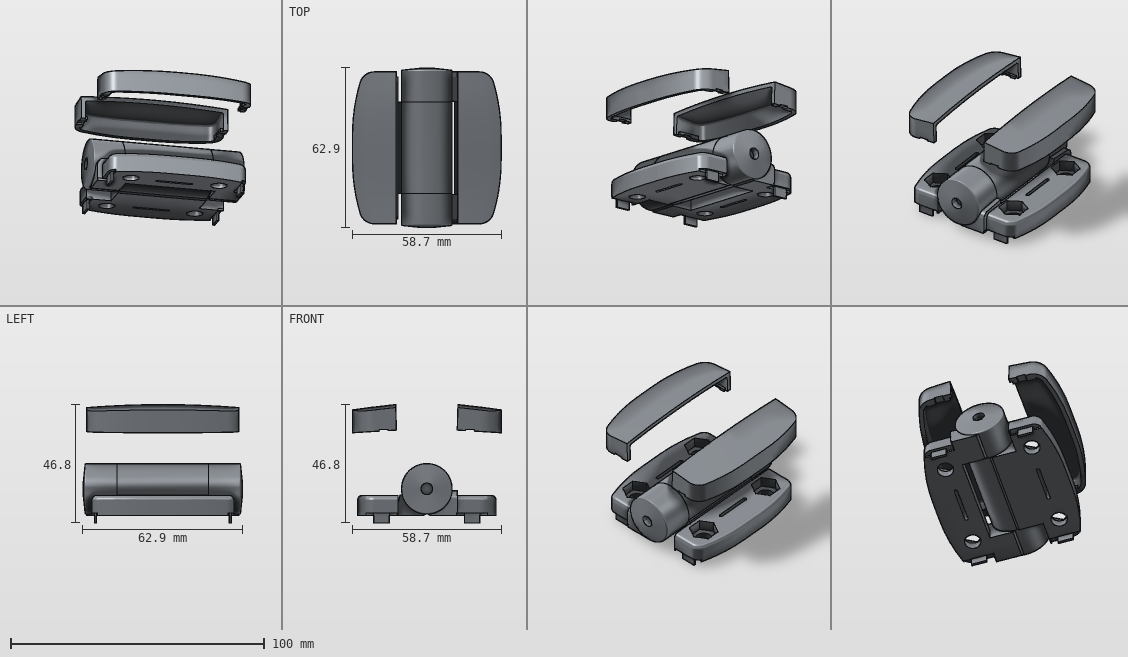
import cadquery as cq
import math


barrel_radius = 10.0
barrel_axis_z = 10.5
barrel_half_length = 31.45
center_knuckle_half_length = 18.05
end_cone_height = 0.8
end_edge_radius = 0.5
end_hole_diameter = 4.6
end_hole_depth = 3.0

leaf_half_width = 27.33
leaf_half_length = 28.0
leaf_corner_radius = 3.995
leaf_side_radius = 71.1
side_flat_half_length = 5.05
leaf_thickness = 8.0
leaf_top_fillet = 2.0
left_leaf_inner_x = 11.3
right_leaf_inner_x = 12.0

seat_x = 17.85
seat_y = 18.0
nut_across_flats = 10.0
nut_pocket_depth = 4.4
screw_hole_diameter = 6.4
slot_x = 17.0
slot_length = 15.0
slot_width = 1.3
notch_width = 12.15
notch_height = 0.95
notch_inner_y = 25.8
tab_width = 6.15
tab_inner_y = 26.15
tab_thickness = 0.8
tab_drop = 3.0

web_tip_x = 1.4
web_blend_x = 0.4
web_blend_height = 0.55
web_overlap = 0.6
groove_bottom_z = 5.2
groove_width = 0.75
left_web_top_z = 8.1
end_web_start_y = 18.3
end_web_end_y = leaf_half_length + 2.0
end_web_round_bottom_z = 6.55
end_web_round_top_z = 9.2
end_web_round_depth = 2.0
end_web_inner_top_z = 9.9
ledge_tip_x = 10.8
ledge_step_x = 11.6

cover_gap = 2.0
cover_wall = 1.75
cover_bottom_inner_x = 11.95
cover_top_inner_x = 12.235
cover_bottom_inner_z = 33.65
cover_bottom_tilt = 3.5
cover_top_z = 43.8
cover_dome_radius = 377.4
cover_dome_offset_x = 25.15
cover_ceiling_fillet = 1.0
cover_notch_width = 3.3
cover_notch_flare = 0.55
cover_notch_top_z = 33.9
lip_inner_x = 12.95
lip_outer_x = 22.65
lip_depth = 1.0
lip_height = 1.0

MARGIN = 6.3


def bowed_outline(growth):
    """Left-hand plate outline at Z = 0, grown outward; the straight inner edge lies on X = 0."""
    half_width = leaf_half_width + growth
    half_length = leaf_half_length + growth
    corner_radius = leaf_corner_radius + growth
    side_radius = leaf_side_radius + growth
    side_center_x = half_width - side_radius
    rise = half_length - corner_radius - side_flat_half_length
    angle = math.asin(rise / (side_radius - corner_radius))
    corner_x = side_center_x + (side_radius - corner_radius) * math.cos(angle)
    corner_y = half_length - corner_radius

    def on_side(a):
        return side_center_x + side_radius * math.cos(a), side_flat_half_length + side_radius * math.sin(a)

    def on_corner(a):
        return corner_x + corner_radius * math.cos(a), corner_y + corner_radius * math.sin(a)

    corner_middle = (angle + math.pi / 2) / 2
    upper = [on_side(angle / 2), on_side(angle), on_corner(corner_middle), (corner_x, half_length)]
    side_mid, side_end, corner_mid, corner_end = [(-x, y) for x, y in upper]
    return (
        cq.Workplane("XY")
        .moveTo(0, -half_length)
        .lineTo(corner_end[0], -corner_end[1])
        .threePointArc((corner_mid[0], -corner_mid[1]), (side_end[0], -side_end[1]))
        .threePointArc((side_mid[0], -side_mid[1]), (-half_width, -side_flat_half_length))
        .lineTo(-half_width, side_flat_half_length)
        .threePointArc(side_mid, side_end)
        .threePointArc(corner_mid, corner_end)
        .lineTo(0, half_length)
        .close()
    )


def block(x0, x1, y0, y1, z0, z1):
    """Axis-aligned block between opposite corners."""
    return cq.Workplane("XY").box(x1 - x0, y1 - y0, z1 - z0, centered=False).translate((x0, y0, z0))


def bar_along_y(points, y0, y1):
    """Prism with an XZ polygon profile between two Y positions."""
    return cq.Workplane("XZ", origin=(0, y0, 0)).polyline(points).close().extrude(y0 - y1)


def mirror_x(body):
    return body.mirror("YZ")


def mirror_y(body):
    return body.mirror("XZ")


def leaf_plate(inner_x):
    """Left-hand plate with rounded rim, screw seats and slot."""
    plate = bowed_outline(0).extrude(leaf_thickness).faces(">Z").edges("not(>X)").fillet(leaf_top_fillet)
    plate = plate.intersect(
        block(-leaf_half_width, -inner_x, -leaf_half_length, leaf_half_length, 0, leaf_thickness)
    )

    seats = [(-seat_x, seat_y), (-seat_x, -seat_y)]
    nut_across_corners = nut_across_flats / math.cos(math.pi / 6)
    for seat in seats:
        pocket = cq.Workplane("XY").polygon(6, nut_across_corners).extrude(nut_pocket_depth)
        pocket = pocket.rotate((0, 0, 0), (0, 0, 1), 30)
        plate = plate.cut(pocket.translate((*seat, leaf_thickness - nut_pocket_depth)))
    holes = cq.Workplane("XY").pushPoints(seats).circle(screw_hole_diameter / 2).extrude(leaf_thickness)
    slot = cq.Workplane("XY").center(-slot_x, 0).slot2D(slot_length, slot_width, 90).extrude(leaf_thickness)
    return plate.cut(holes).cut(slot)


def end_notch():
    """Shallow notch under the +Y end of a left-hand leaf."""
    return block(
        -seat_x - notch_width / 2, -seat_x + notch_width / 2, notch_inner_y, end_web_end_y, 0, notch_height
    )


def end_tab():
    """Thin tab that hangs from the ceiling of the end notch."""
    return block(
        -seat_x - tab_width / 2,
        -seat_x + tab_width / 2,
        tab_inner_y,
        tab_inner_y + tab_thickness,
        -tab_drop,
        notch_height,
    )


def fit_end_tabs(leaf):
    """Cuts both end notches of a left-hand leaf and hangs a tab in each."""
    notch = end_notch()
    tab = end_tab()
    return leaf.cut(notch).cut(mirror_y(notch)).union(tab).union(mirror_y(tab))


def end_knuckle():
    """End knuckle on the +Y side: shallow conical end with a rounded edge and a blind hole."""
    rim_radius = end_hole_diameter / 2
    edge_y = barrel_half_length - end_cone_height
    hole_floor_y = barrel_half_length - end_hole_depth
    return (
        cq.Workplane("XY")
        .moveTo(0, center_knuckle_half_length)
        .lineTo(barrel_radius, center_knuckle_half_length)
        .lineTo(barrel_radius, edge_y)
        .lineTo(rim_radius, barrel_half_length)
        .lineTo(rim_radius, hole_floor_y)
        .lineTo(0, hole_floor_y)
        .close()
        .revolve(360, (0, 0, 0), (0, 1, 0))
        .edges(cq.NearestToPointSelector((0, edge_y, 0)))
        .fillet(end_edge_radius)
        .translate((0, 0, barrel_axis_z))
    )


def make_left_leaf():
    """Leaf with the middle knuckle."""
    half = center_knuckle_half_length
    knuckle = cq.Workplane("XZ", origin=(0, half, barrel_axis_z)).circle(barrel_radius).extrude(2 * half)
    web = bar_along_y(
        [
            (-left_leaf_inner_x, 0),
            (-web_tip_x, 0),
            (-web_blend_x, web_blend_height),
            (-barrel_radius + web_overlap, left_web_top_z),
            (-left_leaf_inner_x + groove_width, left_web_top_z),
            (-left_leaf_inner_x, groove_bottom_z),
        ],
        -half,
        half,
    )
    return fit_end_tabs(leaf_plate(left_leaf_inner_x).union(web)).union(knuckle)


def end_web():
    """Left-hand web between a plate and an end knuckle, rounded over at its outer end."""
    side = (
        cq.Workplane("YZ", origin=(-right_leaf_inner_x, 0, 0))
        .moveTo(end_web_start_y, 0)
        .lineTo(end_web_end_y, 0)
        .lineTo(end_web_end_y, end_web_round_bottom_z)
        .tangentArcPoint((end_web_end_y - end_web_round_depth, end_web_round_top_z), relative=False)
        .lineTo(end_web_start_y, end_web_inner_top_z)
        .close()
        .extrude(right_leaf_inner_x)
    )
    foot = bar_along_y(
        [
            (-right_leaf_inner_x, 0),
            (-web_tip_x, 0),
            (-web_blend_x, web_blend_height),
            (-barrel_radius + web_overlap, barrel_axis_z),
            (-right_leaf_inner_x, barrel_axis_z),
        ],
        end_web_start_y,
        end_web_end_y,
    )
    return side.intersect(foot)


def make_right_leaf():
    """Leaf with the two end knuckles; modelled left-handed and mirrored."""
    ledge = bar_along_y(
        [
            (-right_leaf_inner_x, 0),
            (-ledge_tip_x, 0),
            (-ledge_tip_x, groove_bottom_z),
            (-ledge_step_x, groove_bottom_z),
            (-right_leaf_inner_x, leaf_thickness),
        ],
        -end_web_start_y,
        end_web_start_y,
    )
    leaf = leaf_plate(right_leaf_inner_x).union(end_web()).union(mirror_y(end_web())).union(ledge)
    leaf = fit_end_tabs(leaf)
    knuckle = end_knuckle()
    return mirror_x(leaf.union(knuckle).union(mirror_y(knuckle)))


def dome_ball(inset):
    """Large ball whose surface is the cover top, moved inward."""
    radius = cover_dome_radius - inset
    reach = cover_dome_offset_x + cover_top_inner_x
    center_z = cover_top_z - math.sqrt(cover_dome_radius**2 - reach**2)
    return cq.Workplane("XY").sphere(radius).translate((cover_dome_offset_x, 0, center_z))


def make_cover():
    """Left-hand cover: a domed shell open towards the barrel and the leaf."""
    outer_x = leaf_half_width + cover_gap
    bottom_drop = (outer_x - cover_bottom_inner_x) * math.tan(math.radians(cover_bottom_tilt))
    bottom_outer_z = cover_bottom_inner_z - bottom_drop
    half_length = leaf_half_length + cover_gap
    base = cq.Workplane("XY").add(bowed_outline(cover_gap).extrude(cover_top_z + MARGIN))
    side_profile = bar_along_y(
        [
            (-outer_x, bottom_outer_z),
            (-cover_bottom_inner_x, cover_bottom_inner_z),
            (-cover_top_inner_x, cover_top_z),
            (-cover_top_inner_x, cover_top_z + MARGIN),
            (-outer_x, cover_top_z + MARGIN),
        ],
        -half_length,
        half_length,
    )
    shell = base.intersect(side_profile).intersect(dome_ball(0))
    cavity = bowed_outline(cover_gap - cover_wall).extrude(cover_top_z + MARGIN).intersect(dome_ball(cover_wall))
    cavity = cavity.faces(">Z").edges("not(>X)").fillet(cover_ceiling_fillet)
    shell = shell.cut(cavity)

    wall_y = half_length - cover_wall
    lip = block(
        -lip_outer_x,
        -lip_inner_x,
        wall_y - lip_depth,
        half_length - cover_wall / 2,
        bottom_outer_z,
        cover_bottom_inner_z + lip_height,
    )
    lip = lip.intersect(side_profile)
    shell = shell.union(lip).union(mirror_y(lip))

    notch_half_top = cover_notch_width / 2
    notch_half_bottom = notch_half_top + cover_notch_flare
    notch = bar_along_y(
        [
            (-slot_x - notch_half_bottom, bottom_outer_z),
            (-slot_x + notch_half_bottom, bottom_outer_z),
            (-slot_x + notch_half_top, cover_notch_top_z),
            (-slot_x - notch_half_top, cover_notch_top_z),
        ],
        -half_length,
        half_length,
    )
    return shell.cut(notch)


left_leaf = make_left_leaf()
right_leaf = make_right_leaf()
left_cover = make_cover()
right_cover = mirror_x(make_cover())

result = cq.Compound.makeCompound([left_leaf.val(), right_leaf.val(), left_cover.val(), right_cover.val()])